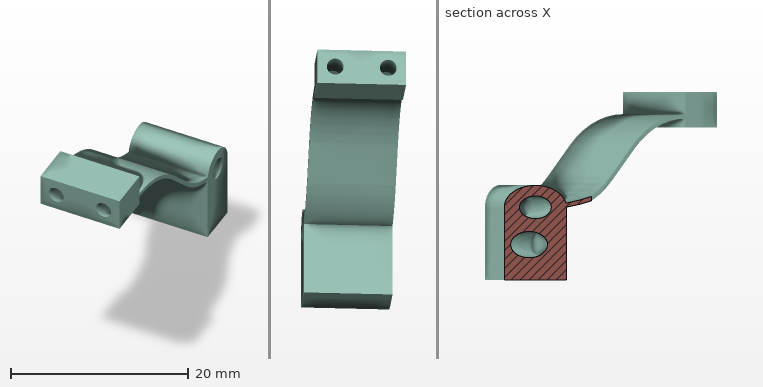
import cadquery as cq
import math

LENGTH = 27.0
WIDTH = 10.0
BLOCK_THICKNESS = 5.0
TOTAL_HEIGHT = 21.18
PLAN_ANGLE = -45.0

HINGE_RADIUS = BLOCK_THICKNESS / 2
PIN_HEIGHT = 8.2
PIN_DIAMETER = 2.5

MOUNT_DIAMETER = 2.9
MOUNT_HEIGHT = 4.0
MOUNT_DEPTH = 4.0

HEAD_HEIGHT = 4.0
HEAD_START = LENGTH - BLOCK_THICKNESS
HEAD_BOTTOM = TOTAL_HEIGHT - HEAD_HEIGHT
HEAD_HOLE_DIAMETER = 1.9
HEAD_HOLE_SPACING = 6.0
HEAD_HOLE_DEPTH = 4.0

STRIP_THICKNESS = 0.5
STRIP_SLOPE = math.radians(45.0)
BEND_RADIUS = 11.5
LOWER_BEND_POSITION = 2.13
STRIP_RISE = 1.0
STRIP_OVERLAP = 0.5


def extrude_profile(profile):
    """Extrude a closed (u, z) outline across the whole width."""
    return profile.extrude(WIDTH / 2, both=True)


def hinge_block():
    profile = (
        cq.Workplane("XZ")
        .lineTo(BLOCK_THICKNESS, 0)
        .lineTo(BLOCK_THICKNESS, PIN_HEIGHT)
        .threePointArc((HINGE_RADIUS, PIN_HEIGHT + HINGE_RADIUS), (0, PIN_HEIGHT))
        .close()
    )
    return extrude_profile(profile)


def head_block():
    profile = (
        cq.Workplane("XZ")
        .moveTo(HEAD_START, HEAD_BOTTOM)
        .lineTo(LENGTH, HEAD_BOTTOM)
        .lineTo(LENGTH, TOTAL_HEIGHT)
        .lineTo(HEAD_START, TOTAL_HEIGHT)
        .close()
    )
    return extrude_profile(profile)


def on_circle(center, radius, angle):
    """Point on a circle, with the angle measured from straight up towards -u."""
    return (center[0] - radius * math.sin(angle), center[1] + radius * math.cos(angle))


def strip():
    upper_center = (HEAD_START, HEAD_BOTTOM + STRIP_RISE - BEND_RADIUS)
    center_run = LOWER_BEND_POSITION - HEAD_START
    center_rise = (2 * BEND_RADIUS + center_run * math.sin(STRIP_SLOPE)) / math.cos(STRIP_SLOPE)
    lower_center = (LOWER_BEND_POSITION, upper_center[1] + center_rise)

    upper_outer = BEND_RADIUS + STRIP_THICKNESS
    lower_inner = BEND_RADIUS - STRIP_THICKNESS
    start_run = BLOCK_THICKNESS - STRIP_OVERLAP - LOWER_BEND_POSITION
    start_slope = math.asin(start_run / BEND_RADIUS)

    def lower_point(radius, slope):
        return on_circle(lower_center, radius, slope + math.pi)

    def upper_point(radius, slope):
        return on_circle(upper_center, radius, slope)

    lower_middle = (start_slope + STRIP_SLOPE) / 2
    upper_middle = STRIP_SLOPE / 2
    head_end = HEAD_START + STRIP_OVERLAP
    underside_z = upper_center[1] + BEND_RADIUS
    profile = (
        cq.Workplane("XZ")
        .moveTo(*lower_point(BEND_RADIUS, start_slope))
        .threePointArc(lower_point(BEND_RADIUS, lower_middle), lower_point(BEND_RADIUS, STRIP_SLOPE))
        .lineTo(*upper_point(BEND_RADIUS, STRIP_SLOPE))
        .threePointArc(upper_point(BEND_RADIUS, upper_middle), upper_point(BEND_RADIUS, 0))
        .lineTo(head_end, underside_z)
        .lineTo(head_end, underside_z + STRIP_THICKNESS)
        .lineTo(*upper_point(upper_outer, 0))
        .threePointArc(upper_point(upper_outer, upper_middle), upper_point(upper_outer, STRIP_SLOPE))
        .lineTo(*lower_point(lower_inner, STRIP_SLOPE))
        .threePointArc(lower_point(lower_inner, lower_middle), lower_point(lower_inner, start_slope))
        .close()
    )
    return extrude_profile(profile)


def pin_hole():
    return extrude_profile(
        cq.Workplane("XZ").center(HINGE_RADIUS, PIN_HEIGHT).circle(PIN_DIAMETER / 2)
    )


def mount_hole():
    return cq.Workplane("YZ").center(0, MOUNT_HEIGHT).circle(MOUNT_DIAMETER / 2).extrude(MOUNT_DEPTH)


def head_holes():
    offset = HEAD_HOLE_SPACING / 2
    return (
        cq.Workplane("YZ", origin=(LENGTH, 0, HEAD_BOTTOM + HEAD_HEIGHT / 2))
        .pushPoints([(-offset, 0), (offset, 0)])
        .circle(HEAD_HOLE_DIAMETER / 2)
        .extrude(-HEAD_HOLE_DEPTH)
    )


body = hinge_block().union(strip()).union(head_block())
body = body.cut(pin_hole()).cut(mount_hole()).cut(head_holes())

result = body.translate((-LENGTH / 2, 0, 0)).rotate((0, 0, 0), (0, 0, 1), PLAN_ANGLE)